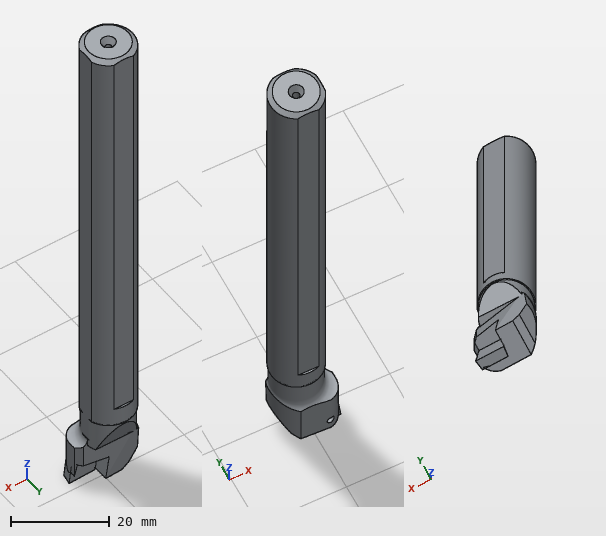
import cadquery as cq
import math

total_length = 124.6
shank_radius = 6.0
neck_top = 19.8
top_chamfer_width = 1.1
top_chamfer_height = 0.9
grip_flat_distance = 5.5
grip_flat_bottom = 24.4
side_flat_distance = 5.6

centre_mouth_radius = 1.6
centre_pilot_radius = 0.7
centre_cone_depth = (centre_mouth_radius - centre_pilot_radius) / math.tan(math.radians(30))
centre_pilot_depth = 3.1

neck_radius = 5.7
neck_bottom = 13.8
flare_radius = 2.7
flare_bottom = neck_bottom - flare_radius
flare_outer_radius = neck_radius + flare_radius

head_left = -shank_radius
head_right = 7.8
head_front = -6.5
head_corner_left = -2.2
head_corner_right = 4.6
front_arc_middle = (6.9, -5.1)
front_arc_end_y = -2.2
back_left_x = -5.5
back_left_y = 3.0
back_right_x = 6.6
back_right_y = 0.6
back_bevel_y = -0.7
left_arc_middle = (-5.4, -2.7)
heel_z = 1.1
toe_z = 0.2
bevel_corner_x = -3.9
bevel_corner_z = 2.6
bevel_top_z = 6.7
scoop_knee_y = 2.7
scoop_knee_z = 12.0
scoop_bottom_y = 1.5

tip_x = 8.2
inscribed_radius = 3.18
corner_angle = 80.0
side_edge_angle = 97.0
insert_top_y = -2.1
insert_thickness = 2.4
clearance_angle = 7.0
screw_hole_radius = 0.9

half_corner = math.radians(corner_angle / 2)
tip_distance = inscribed_radius / math.sin(half_corner)
side_distance = inscribed_radius / math.cos(half_corner)
long_axis_angle = math.radians(side_edge_angle) + half_corner
insert_x = tip_x + tip_distance * math.cos(long_axis_angle)
insert_z = tip_distance * math.sin(long_axis_angle)
insert_bottom_y = insert_top_y - insert_thickness

clear = 24.9


def xz_plane(y):
    """Plane across Y at the given place, with its normal toward -Y."""
    return cq.Workplane("XZ", origin=(0, y, 0))


def rhombus(y):
    """Insert outline on the plane at y."""
    along = (math.cos(long_axis_angle), math.sin(long_axis_angle))
    across = (-along[1], along[0])
    corners = [
        (insert_x + reach * axis[0], insert_z + reach * axis[1])
        for reach, axis in (
            (-tip_distance, along),
            (side_distance, across),
            (tip_distance, along),
            (-side_distance, across),
        )
    ]
    return xz_plane(y).polyline(corners).close()


def make_insert():
    """Cutting insert, tapering toward its seat."""
    return rhombus(insert_top_y).extrude(insert_thickness, taper=clearance_angle)


def screw_hole():
    """Hole along Y from the front of the head to the insert seat."""
    return xz_plane(insert_bottom_y).center(insert_x, insert_z).circle(screw_hole_radius).extrude(clear)


def make_shank():
    """Shank with chamfered top, grip flats and centre hole."""
    chamfer_radius = shank_radius - top_chamfer_width
    chamfer_z = total_length - top_chamfer_height
    pilot_z = total_length - centre_cone_depth
    profile = [
        (0, neck_top),
        (shank_radius, neck_top),
        (shank_radius, chamfer_z),
        (chamfer_radius, total_length),
        (centre_mouth_radius, total_length),
        (centre_pilot_radius, pilot_z),
        (centre_pilot_radius, pilot_z - centre_pilot_depth),
        (0, pilot_z - centre_pilot_depth),
    ]
    shank = cq.Workplane("XZ").polyline(profile).close().revolve(360, (0, 0, 0), (0, 1, 0))
    grip = (
        cq.Workplane("XY", origin=(0, 0, grip_flat_bottom))
        .rect(2 * clear, 2 * grip_flat_distance)
        .extrude(total_length)
    )
    lower_end = cq.Workplane("XY").circle(clear).extrude(grip_flat_bottom)
    return shank.intersect(grip.union(lower_end))


def make_neck():
    """Neck with its concave flare, continued down to limit the head."""
    arc_middle = flare_radius * math.sqrt(0.5)
    return (
        cq.Workplane("XZ")
        .moveTo(0, neck_top)
        .lineTo(neck_radius, neck_top)
        .lineTo(neck_radius, neck_bottom)
        .threePointArc(
            (flare_outer_radius - arc_middle, neck_bottom - arc_middle),
            (flare_outer_radius, flare_bottom),
        )
        .lineTo(clear, flare_bottom)
        .lineTo(clear, 0)
        .lineTo(0, 0)
        .close()
        .revolve(360, (0, 0, 0), (0, 1, 0))
    )


def make_head():
    """Head outline drawn across Z, trimmed at the bottom by the heel bevels."""
    outline = (
        cq.Workplane("XY")
        .moveTo(head_corner_left, head_front)
        .lineTo(head_corner_right, head_front)
        .threePointArc(front_arc_middle, (head_right, front_arc_end_y))
        .lineTo(head_right, back_bevel_y)
        .lineTo(back_right_x, back_right_y)
        .lineTo(back_left_x, back_left_y)
        .threePointArc(left_arc_middle, (head_corner_left, head_front))
        .close()
        .extrude(neck_bottom)
    )
    side_shape = (
        xz_plane(clear)
        .polyline([
            (head_left - clear, neck_bottom),
            (head_left - clear, bevel_top_z),
            (head_left, bevel_top_z),
            (bevel_corner_x, bevel_corner_z),
            (head_corner_left, heel_z),
            (head_right, toe_z),
            (head_right, neck_bottom),
        ])
        .close()
        .extrude(2 * clear)
    )
    return outline.intersect(side_shape)


def scoop():
    """Chip clearance along X that slopes from the shank down the back of the head."""
    return (
        cq.Workplane("YZ", origin=(-clear, 0, 0))
        .polyline([
            (shank_radius, neck_top),
            (scoop_knee_y, scoop_knee_z),
            (scoop_bottom_y, 0),
            (clear, 0),
            (clear, neck_top),
        ])
        .close()
        .extrude(2 * clear)
    )


def make_bar():
    """Complete bar: shank, neck and head with the insert pocket."""
    neck_form = make_neck()
    upper_neck = neck_form.intersect(
        cq.Workplane("XY", origin=(0, 0, scoop_knee_z)).circle(neck_radius).extrude(clear)
    )
    head = make_head().intersect(neck_form)
    side_flat = (
        cq.Workplane("XY", origin=(side_flat_distance + clear / 2, 0, neck_bottom))
        .rect(clear, clear)
        .extrude(total_length)
    )
    bar = make_shank().union(upper_neck).union(head).cut(scoop()).cut(side_flat)
    chip_space = rhombus(insert_top_y).extrude(-clear)
    return bar.cut(make_insert()).cut(chip_space).cut(screw_hole())


bar = make_bar()
insert = make_insert()
result = cq.Compound.makeCompound([bar.solids().val(), insert.solids().val()])